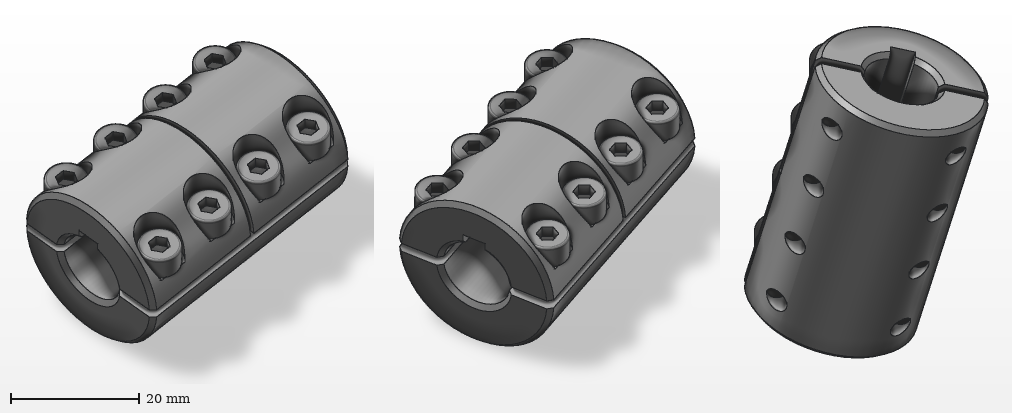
import cadquery as cq

length = 45.0
outer_radius = 14.0
bore_radius = 6.0
edge_chamfer = 0.8

split_gap = 1.65
ring_gap = 0.75
key_width = 4.0
key_top = 7.8

screw_x = 10.0
screw_pitch = 11.25
screws_per_side = 4
head_radius = 3.5
head_height = 4.0
head_fillet = 0.35
seat_z = 5.2
shank_radius = 2.0
shank_length = 12.0
socket_flats = 3.0
socket_depth = 2.0
counterbore_radius = 4.0
tapped_radius = 1.58

HEX_SIDES = 6
ROOT_3 = 3 ** 0.5
through = 2 * outer_radius


def cylinder_y(radius, chamfer=0):
    """Solid cylinder centred on the Y axis, with chamfered ends if asked."""
    body = cq.Workplane("XZ").circle(radius).extrude(length / 2, both=True)
    if chamfer:
        body = body.faces("<Y or >Y").edges().chamfer(chamfer)
    return body


def bore_end_cone(end):
    """Conical lead-in of the bore at the end on the given side of Y."""
    face = cq.Workplane("XZ", origin=(0, end * length / 2, 0))
    return (
        face.circle(bore_radius + edge_chamfer)
        .workplane(offset=end * edge_chamfer)
        .circle(bore_radius)
        .loft()
    )


def tube():
    """Chamfered tube with a keyway along the top of its bore."""
    keyway = cq.Workplane("XY").box(key_width, length, key_top, centered=(True, True, False))
    body = cylinder_y(outer_radius, edge_chamfer).cut(cylinder_y(bore_radius)).cut(keyway)
    for end in (-1, 1):
        body = body.cut(bore_end_cone(end))
    return body


def at_screws(shape):
    """Copies of a shape, modelled on the Z axis, at every screw position."""
    first_y = -screw_pitch * (screws_per_side - 1) / 2
    copies = cq.Workplane("XY")
    for x in (-screw_x, screw_x):
        for i in range(screws_per_side):
            copies = copies.add(shape.translate((x, first_y + i * screw_pitch, 0)))
    return copies.combine()


def screw():
    """Socket head cap screw whose head rests on the counterbore floor."""
    seat = cq.Workplane("XY", origin=(0, 0, seat_z))
    head = seat.circle(head_radius).extrude(head_height).faces(">Z").edges().fillet(head_fillet)
    socket = (
        cq.Workplane("XY", origin=(0, 0, seat_z + head_height))
        .transformed(rotate=(0, 0, 90))
        .polygon(HEX_SIDES, socket_flats * 2 / ROOT_3)
        .extrude(-socket_depth)
    )
    shank = seat.circle(shank_radius).extrude(-shank_length)
    return head.cut(socket).union(shank)


def screw_hole():
    """Counterbore above the seat and a tapped hole out through the bottom."""
    seat = cq.Workplane("XY", origin=(0, 0, seat_z))
    counterbore = seat.circle(counterbore_radius).extrude(through)
    return counterbore.union(seat.circle(tapped_radius).extrude(-through))


split = cq.Workplane("XY").box(through, length, split_gap)
ring_split = cq.Workplane("XY").box(through, ring_gap, outer_radius, centered=(True, True, False))

halves = tube().cut(split).cut(ring_split).cut(at_screws(screw_hole()))

result = halves.union(at_screws(screw()))